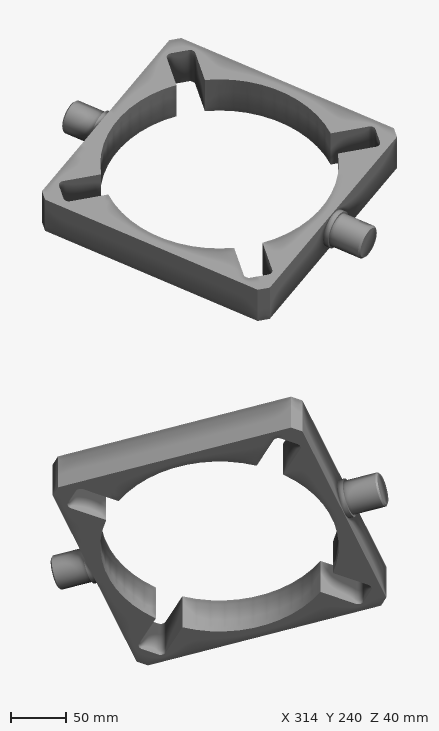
import cadquery as cq

frame_side = 240.0
frame_height = 40.0
corner_chamfer = 8.0
bore_diameter = 215.6

slot_width = 26.5
slot_reach = 147.5
slot_corner_radius = 5.0
slot_angles = (45, 135, 225, 315)

overall_length = 314.0
pin_diameter = 32.0
pin_end_chamfer = 1.5
collar_diameter = 36.0
collar_thickness = 5.0
pin_length = (overall_length - frame_side) / 2


def make_frame():
    """Square plate with chamfered vertical corners and a round bore."""
    plate = cq.Workplane("XY").box(frame_side, frame_side, frame_height)
    plate = plate.edges("|Z").chamfer(corner_chamfer)
    return plate.faces(">Z").workplane().hole(bore_diameter)


def make_slot(angle):
    """Cutter for one slot, running outward from the centre, with rounded outer corners."""
    cutter = cq.Workplane("XY").box(slot_reach, slot_width, frame_height, centered=(False, True, True))
    cutter = cutter.edges("|Z and >X").fillet(slot_corner_radius)
    return cutter.rotate((0, 0, 0), (0, 0, 1), angle)


def make_trunnion(side):
    """Collar and pin on the +X face (side = 1) or the -X face (side = -1)."""
    face = cq.Plane(origin=(side * frame_side / 2, 0, 0), xDir=(0, 1, 0), normal=(side, 0, 0))
    collar = cq.Workplane(face).circle(collar_diameter / 2).extrude(collar_thickness)
    pin = cq.Workplane(face).circle(pin_diameter / 2).extrude(pin_length)
    outer_end = ">X" if side > 0 else "<X"
    pin = pin.faces(outer_end).edges().chamfer(pin_end_chamfer)
    return collar.union(pin)


result = make_frame()
for slot_angle in slot_angles:
    result = result.cut(make_slot(slot_angle))
for trunnion_side in (1, -1):
    result = result.union(make_trunnion(trunnion_side))